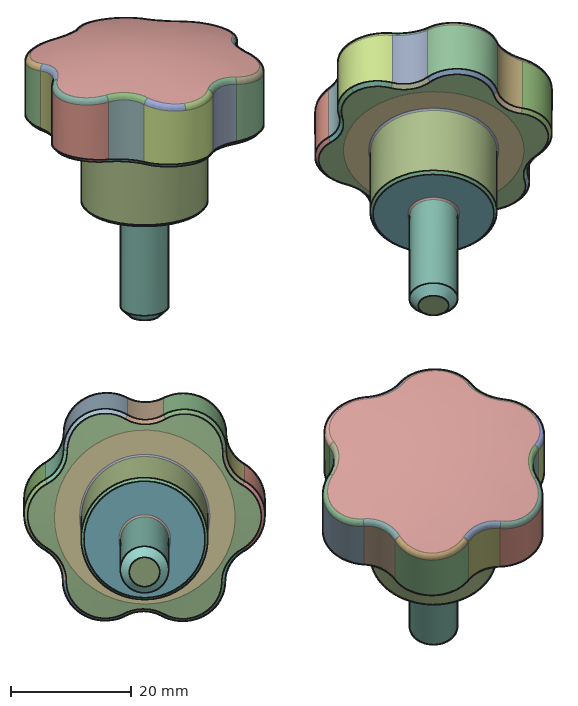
import cadquery as cq
import math

total_height = 48.0
collar_bottom = 20.0
head_bottom = 33.9

lobe_count = 6
lobe_radius = 7.0
head_diameter = 40.0
head_radius = head_diameter / 2
lobe_center = head_radius - lobe_radius
hollow_radius = 6.0
dome_radius = 76.8
top_fillet = 1.0
underside_flat_radius = 15.0
underside_rise = 0.55
bottom_chamfer = 0.6
rim_clearance = 0.05

collar_diameter = 21.0
collar_chamfer = 0.5
stud_diameter = 8.0
stud_tip_chamfer = 1.5
root_fillet = 0.3


def polar(radius, angle):
    return radius * math.cos(angle), radius * math.sin(angle)


def head_outline():
    """Closed lobed outline made of alternating tangent arcs."""
    half_pitch = math.pi / lobe_count
    center_gap = lobe_radius + hollow_radius
    half_chord = lobe_center * math.sin(half_pitch)
    hollow_center = lobe_center * math.cos(half_pitch) + math.sqrt(center_gap**2 - half_chord**2)

    share = hollow_radius / center_gap
    across = half_chord * share
    along = hollow_center + (lobe_center * math.cos(half_pitch) - hollow_center) * share
    tangent_radius = math.hypot(across, along)
    tangent_offset = math.atan2(across, along)

    outline = cq.Workplane("XY").moveTo(*polar(tangent_radius, tangent_offset - half_pitch))
    for i in range(lobe_count):
        lobe_angle = 2 * half_pitch * i
        hollow_angle = lobe_angle + half_pitch
        outline = outline.threePointArc(
            polar(head_radius, lobe_angle),
            polar(tangent_radius, hollow_angle - tangent_offset),
        )
        outline = outline.threePointArc(
            polar(hollow_center - hollow_radius, hollow_angle),
            polar(tangent_radius, hollow_angle + tangent_offset),
        )
    return outline.close()


def make_head():
    """Lobed prism trimmed by a domed top and a flat underside that rises as a cone towards the rim."""
    trim_radius = head_radius + hollow_radius
    cone_slope = underside_rise / (head_radius - underside_flat_radius)
    cone_rise = cone_slope * (trim_radius - underside_flat_radius)
    dome_center = total_height - dome_radius
    dome_edge = dome_center + math.sqrt(dome_radius**2 - trim_radius**2)
    dome_mid = dome_center + math.sqrt(dome_radius**2 - (trim_radius / 2) ** 2)
    envelope = (
        cq.Workplane("XZ")
        .moveTo(0, head_bottom)
        .lineTo(underside_flat_radius, head_bottom)
        .lineTo(trim_radius, head_bottom + cone_rise)
        .lineTo(trim_radius, dome_edge)
        .threePointArc((trim_radius / 2, dome_mid), (0, total_height))
        .close()
        .revolve(360, (0, 0, 0), (0, 1, 0))
    )
    head = head_outline().extrude(total_height).intersect(envelope)
    head = head.faces(">Z").edges().fillet(top_fillet)
    rim = cq.selectors.BoxSelector(
        (-trim_radius, -trim_radius, head_bottom + rim_clearance),
        (trim_radius, trim_radius, head_bottom + cone_rise),
    )
    return head.edges(rim).chamfer(bottom_chamfer)


def make_collar():
    collar = cq.Workplane("XY").workplane(offset=collar_bottom)
    collar = collar.circle(collar_diameter / 2).extrude(head_bottom - collar_bottom)
    return collar.faces("<Z").edges().chamfer(collar_chamfer)


def make_stud():
    stud = cq.Workplane("XY").circle(stud_diameter / 2).extrude(collar_bottom)
    return stud.faces("<Z").edges().chamfer(stud_tip_chamfer)


def round_roots(knob):
    """Small fillets where the stud meets the collar and the collar meets the head."""
    for diameter, height in ((stud_diameter, collar_bottom), (collar_diameter, head_bottom)):
        reach = diameter / 2 + root_fillet
        root = cq.selectors.BoxSelector(
            (-reach, -reach, height - root_fillet / 2),
            (reach, reach, height + root_fillet / 2),
            boundingbox=True,
        )
        knob = knob.edges(root).fillet(root_fillet)
    return knob


result = round_roots(make_head().union(make_collar()).union(make_stud()))